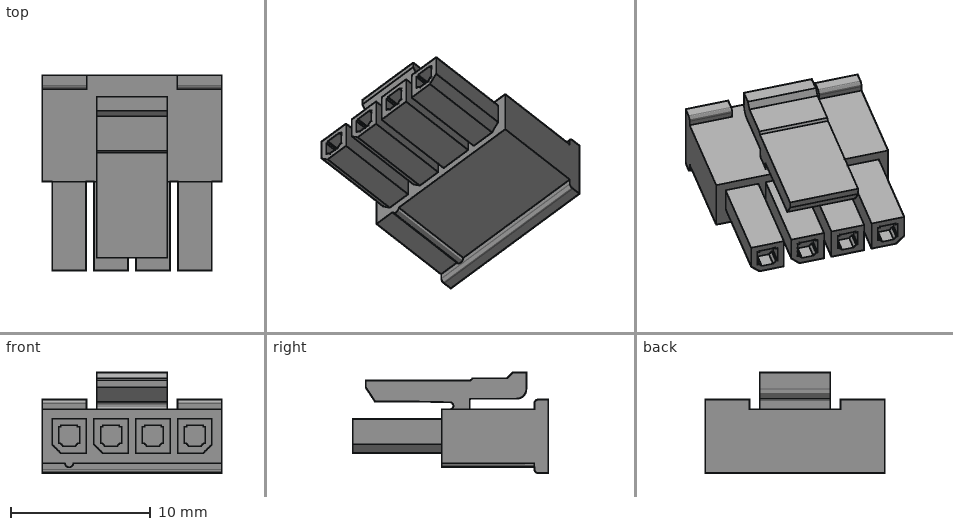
import cadquery as cq


width = 12.85
length = 14.0
height = 7.21

body_length = 7.63
body_bottom = 0.73
body_top = 4.58

flange_thickness = 1.0
ear_top = 5.28
ear_width = 3.18
flange_round = 0.28

pitch = 3.0
plug_count = 4
plug_size = 2.45
plug_center_z = 2.67
plug_chamfer = 0.62
chamfered_corners = ("left", "left", None, "right")
socket_size = 1.5
socket_depth = 1.05
socket_top_notch_width = 0.16
socket_top_notch_height = 0.1
socket_bottom_step_width = 0.13
socket_bottom_step_height = 0.22
socket_bottom_bevel_width = 0.2

rib_radius = 0.3

latch_width = 5.08
latch_rear = 1.56
latch_front = 13.08
hook_end = 2.56
hook_ramp = 0.4
step_start = 5.4
step_drop = 0.16
nose_tip_height = 0.5
nose_run = 0.67
arm_front_underside = 5.13
arm_flat_end = 9.95
arm_post_underside = 5.07
arm_rear_underside = 5.33
hook_underside_round = 0.7
post_rear = 5.62
post_front = 6.8
post_corner_round = 0.09


def plug_center_x(index):
    return (index - (plug_count - 1) / 2) * pitch


def box_between(x_range, y_range, z_range):
    sizes = [high - low for low, high in (x_range, y_range, z_range)]
    corner = (x_range[0], y_range[0], z_range[0])
    return cq.Workplane("XY").box(*sizes, centered=False).translate(corner)


def make_body():
    half_width = width / 2
    return box_between((-half_width, half_width), (-body_length, 0), (body_bottom, body_top))


def make_flange():
    half_width = width / 2
    flange = box_between((-half_width, half_width), (-flange_thickness, 0), (0, ear_top))
    flange = flange.faces("<Y").edges("|X").fillet(flange_round)
    ear_inner_x = half_width - ear_width
    gap = box_between((-ear_inner_x, ear_inner_x), (-flange_thickness, 0), (body_top, ear_top))
    return flange.cut(gap)


def make_rib():
    rib = cq.Workplane("XZ").center(plug_center_x(0), body_bottom).circle(rib_radius)
    return rib.extrude(body_length)


def make_plug(index):
    center_x = plug_center_x(index)
    half = plug_size / 2
    plug = box_between(
        (center_x - half, center_x + half),
        (-length, -body_length),
        (plug_center_z - half, plug_center_z + half),
    )
    corner_selectors = {"left": "<X", "right": ">X"}
    corner = chamfered_corners[index]
    if corner:
        side = corner_selectors[corner]
        plug = plug.faces("<Z").edges(side).chamfer(plug_chamfer)
    return plug


def make_socket(index):
    half = socket_size / 2
    top_x = half - socket_top_notch_width
    top_z = half - socket_top_notch_height
    step_x = half - socket_bottom_step_width
    step_z = socket_bottom_step_height - half
    bottom_x = step_x - socket_bottom_bevel_width
    right_side = [
        (top_x, half),
        (top_x, top_z),
        (half, top_z),
        (half, step_z),
        (step_x, step_z),
        (bottom_x, -half),
    ]
    left_side = [(-x, z) for x, z in reversed(right_side)]
    socket = cq.Workplane("XZ").polyline(right_side + left_side).close().extrude(socket_depth)
    return socket.translate((plug_center_x(index), socket_depth - length, plug_center_z))


def make_latch():
    notch_radius = (arm_post_underside - body_top) / 2
    notch_start = post_front + notch_radius
    ramp_bottom = height - hook_ramp
    arm_top = ramp_bottom - step_drop
    outline = (
        cq.Workplane("YZ")
        .moveTo(-latch_rear, height)
        .lineTo(-hook_end, height)
        .lineTo(-hook_end - hook_ramp, ramp_bottom)
        .lineTo(-step_start, ramp_bottom)
        .lineTo(-step_start - step_drop, arm_top)
        .lineTo(-latch_front, arm_top)
        .lineTo(-latch_front, arm_top - nose_tip_height)
        .lineTo(-latch_front + nose_run, arm_front_underside)
        .lineTo(-arm_flat_end, arm_front_underside)
        .lineTo(-notch_start, arm_post_underside)
        .threePointArc((-post_front, body_top + notch_radius), (-notch_start, body_top))
        .lineTo(-post_rear, body_top)
        .lineTo(-post_rear, arm_rear_underside - post_corner_round)
        .tangentArcPoint((post_corner_round, post_corner_round))
        .lineTo(-latch_rear - hook_underside_round, arm_rear_underside)
        .tangentArcPoint((hook_underside_round, hook_underside_round))
        .close()
    )
    return outline.extrude(latch_width / 2, both=True)


result = make_body().union(make_flange()).union(make_rib()).union(make_latch())
for plug_index in range(plug_count):
    result = result.union(make_plug(plug_index))
for plug_index in range(plug_count):
    result = result.cut(make_socket(plug_index))